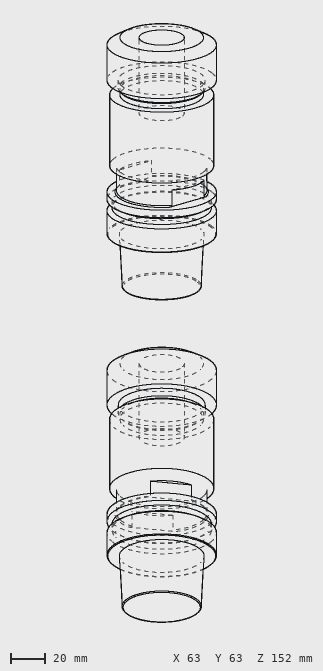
import cadquery as cq
import math

TAPER_LENGTH = 32.0
FLANGE_HEIGHT = 26.0
TOTAL_HEIGHT = 152.0
FLANGE_TOP = TAPER_LENGTH + FLANGE_HEIGHT

TAPER_LARGE_DIAMETER = 48.75
TAPER_RATIO = 1 / 10
TAPER_END_CHAMFER = 0.6

FLANGE_DIAMETER = 63.0
FLANGE_BOTTOM_CHAMFER = 0.5
GROOVE_DIAMETER = 57.2
GROOVE_CENTRE_HEIGHT = 18.0
GROOVE_CENTRE_Z = TAPER_LENGTH + GROOVE_CENTRE_HEIGHT
GROOVE_FLOOR_WIDTH = 3.5
GROOVE_MOUTH_WIDTH = 6.8

NECK_DIAMETER = 52.0
NECK_FILLET = 0.8
FLATS_ACROSS = 46.0
FLATS_HEIGHT = 10.0

SLEEVE_DIAMETER = 60.0
SLEEVE_BOTTOM = 74.0
SLEEVE_TOP = 117.2

UNDERCUT_DIAMETER = 48.0
COLLAR_DIAMETER = 50.0
COLLAR_BOTTOM = 120.3
COLLAR_CHAMFER = 1.0

NUT_DIAMETER = 63.0
NUT_FACE_DIAMETER = 48.0
NUT_HEIGHT = 26.0
NUT_BEVEL_ANGLE = 30.0
NUT_BOTTOM = TOTAL_HEIGHT - NUT_HEIGHT

BORE_DIAMETER = 26.0
BORE_DEPTH = 46.0


def cylinder(diameter, bottom, top):
    return cq.Workplane("XY").workplane(offset=bottom).circle(diameter / 2).extrude(top - bottom)


def ring_groove(outer_diameter, floor_diameter, centre_z, floor_width, mouth_width):
    """Ring with a trapezoidal section, to be cut from a cylinder of the outer diameter."""
    outer_r = outer_diameter / 2
    floor_r = floor_diameter / 2
    section = [
        (outer_r, centre_z - mouth_width / 2),
        (floor_r, centre_z - floor_width / 2),
        (floor_r, centre_z + floor_width / 2),
        (outer_r, centre_z + mouth_width / 2),
    ]
    return cq.Workplane("XZ").polyline(section).close().revolve(360, (0, 0, 0), (0, 1, 0))


def taper_shank():
    small_diameter = TAPER_LARGE_DIAMETER - TAPER_LENGTH * TAPER_RATIO
    shank = (
        cq.Workplane("XY")
        .circle(small_diameter / 2)
        .workplane(offset=TAPER_LENGTH)
        .circle(TAPER_LARGE_DIAMETER / 2)
        .loft()
    )
    return shank.faces("<Z").edges().chamfer(TAPER_END_CHAMFER)


def flange():
    disc = cylinder(FLANGE_DIAMETER, TAPER_LENGTH, FLANGE_TOP)
    disc = disc.faces("<Z").edges().chamfer(FLANGE_BOTTOM_CHAMFER)
    groove = ring_groove(
        FLANGE_DIAMETER, GROOVE_DIAMETER, GROOVE_CENTRE_Z, GROOVE_FLOOR_WIDTH, GROOVE_MOUTH_WIDTH
    )
    return disc.cut(groove)


def neck():
    """Round neck, flared by a fillet at both ends, with a flat on the -X and +X sides."""
    radius = NECK_DIAMETER / 2
    flared_radius = radius + NECK_FILLET
    arc_inset = NECK_FILLET * (1 - math.sqrt(0.5))
    body = (
        cq.Workplane("XZ")
        .moveTo(0, FLANGE_TOP)
        .lineTo(flared_radius, FLANGE_TOP)
        .threePointArc(
            (radius + arc_inset, FLANGE_TOP + arc_inset),
            (radius, FLANGE_TOP + NECK_FILLET),
        )
        .lineTo(radius, SLEEVE_BOTTOM - NECK_FILLET)
        .threePointArc(
            (radius + arc_inset, SLEEVE_BOTTOM - arc_inset),
            (flared_radius, SLEEVE_BOTTOM),
        )
        .lineTo(0, SLEEVE_BOTTOM)
        .close()
        .revolve(360, (0, 0, 0), (0, 1, 0))
    )
    flat_depth = flared_radius - FLATS_ACROSS / 2
    for side in (-1, 1):
        flat_cutter = (
            cq.Workplane("XY")
            .workplane(offset=FLANGE_TOP)
            .center(side * (FLATS_ACROSS + flat_depth) / 2, 0)
            .rect(flat_depth, NECK_DIAMETER)
            .extrude(FLATS_HEIGHT)
        )
        body = body.cut(flat_cutter)
    return body


def collar():
    ring = cylinder(COLLAR_DIAMETER, COLLAR_BOTTOM, NUT_BOTTOM)
    return ring.faces("<Z").edges().chamfer(COLLAR_CHAMFER)


def nut():
    bevel_width = (NUT_DIAMETER - NUT_FACE_DIAMETER) / 2
    bevel_height = bevel_width * math.tan(math.radians(NUT_BEVEL_ANGLE))
    section = [
        (0, NUT_BOTTOM),
        (NUT_DIAMETER / 2, NUT_BOTTOM),
        (NUT_DIAMETER / 2, TOTAL_HEIGHT - bevel_height),
        (NUT_FACE_DIAMETER / 2, TOTAL_HEIGHT),
        (0, TOTAL_HEIGHT),
    ]
    return cq.Workplane("XZ").polyline(section).close().revolve(360, (0, 0, 0), (0, 1, 0))


sleeve = cylinder(SLEEVE_DIAMETER, SLEEVE_BOTTOM, SLEEVE_TOP)
undercut = cylinder(UNDERCUT_DIAMETER, SLEEVE_TOP, COLLAR_BOTTOM)
bore = cylinder(BORE_DIAMETER, TOTAL_HEIGHT - BORE_DEPTH, TOTAL_HEIGHT)

result = taper_shank()
for section_above in (flange(), neck(), sleeve, undercut, collar(), nut()):
    result = result.union(section_above)
result = result.cut(bore)